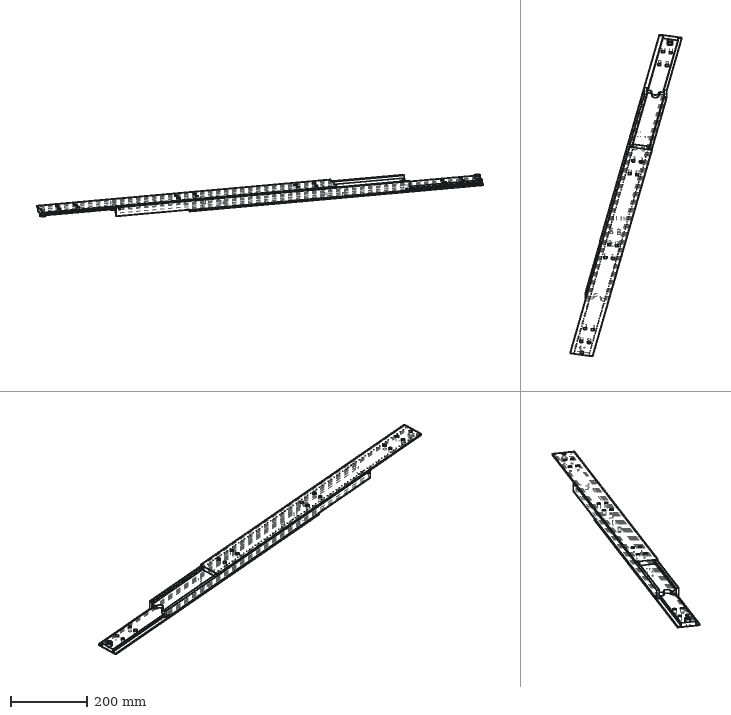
import cadquery as cq

SLIDE_LENGTH = 1200.0
SLIDE_WIDTH = 60.0
SLIDE_HEIGHT = 34.0
RAIL_LENGTH = SLIDE_LENGTH * 2 / 3
RAIL_SHIFT = (SLIDE_LENGTH - RAIL_LENGTH) / 2
RAIL_OUTER_END = SLIDE_LENGTH / 2
RAIL_BASE = -SLIDE_HEIGHT / 2

PLATE_THICKNESS = 3.0
NECK_WIDTH = 40.0
NECK_TOP = 7.0
HEAD_WIDTH = 41.0
RAIL_HEIGHT = 12.0

HOLE_DIAMETER = 8.0
HOLE_SPACING_X = 20.0
HOLE_PITCH_Y = RAIL_LENGTH / 16
HOLE_END_MARGIN = HOLE_PITCH_Y
GROUP_PITCH = (RAIL_LENGTH - HOLE_PITCH_Y) / 2 - HOLE_END_MARGIN

STOP_DIAMETER = 15.0
STOP_HEIGHT = 7.0
BORE_DIAMETER = 8.0
BORE_FLOOR = 2.0

FLANGE_HEIGHT = 24.0
FLANGE_THICKNESS = 7.0
FLANGE_OFFSET = (SLIDE_WIDTH - FLANGE_THICKNESS) / 2
WEB_THICKNESS = SLIDE_HEIGHT - 2 * RAIL_HEIGHT
WEB_INSET = 1.0
WEB_LENGTH = RAIL_LENGTH - 2 * WEB_INSET

NOTCH_WIDTH = 18.0
NOTCH_DEPTH = 15.0
NOTCH_MOUTH_CHAMFER = 4.0

CROSS_HOLE_DIAMETER = 4.0
CROSS_HOLE_END_MARGIN = 8.0
CROSS_HOLE_OFFSET = 8.0


def half_turn(body):
    """The body turned half a turn about X, from one end of the slide to the other."""
    return body.rotate((0, 0, 0), (1, 0, 0), 180)


def rail_strip(width, bottom, top):
    """Full-length strip of the lower rail between two heights above the rail base."""
    return (
        cq.Workplane("XY", origin=(0, RAIL_SHIFT, RAIL_BASE + bottom))
        .rect(width, RAIL_LENGTH)
        .extrude(top - bottom)
    )


def mounting_holes():
    points = [
        (side * HOLE_SPACING_X / 2, group * GROUP_PITCH + end * HOLE_PITCH_Y / 2)
        for side in (-1, 1)
        for group in (-1, 0, 1)
        for end in (-1, 1)
    ]
    return (
        cq.Workplane("XY", origin=(0, RAIL_SHIFT, RAIL_BASE))
        .pushPoints(points)
        .circle(HOLE_DIAMETER / 2)
        .extrude(RAIL_HEIGHT)
    )


def stop_cylinder(diameter, bottom, top):
    """Cylinder on the stop's axis between two heights above the rail base."""
    return (
        cq.Workplane("XY", origin=(0, RAIL_OUTER_END - STOP_DIAMETER / 2, RAIL_BASE + bottom))
        .circle(diameter / 2)
        .extrude(top - bottom)
    )


def make_lower_rail():
    plate = rail_strip(SLIDE_WIDTH, 0, PLATE_THICKNESS)
    neck = rail_strip(NECK_WIDTH, PLATE_THICKNESS, NECK_TOP)
    head = rail_strip(HEAD_WIDTH, NECK_TOP, RAIL_HEIGHT)
    stop_top = RAIL_HEIGHT + STOP_HEIGHT
    stop = stop_cylinder(STOP_DIAMETER, RAIL_HEIGHT, stop_top)
    bore = stop_cylinder(BORE_DIAMETER, BORE_FLOOR, stop_top)
    return plate.union(neck).union(head).cut(mounting_holes()).union(stop).cut(bore)


def web_notch():
    """Cutter for the notch at the +Y end of the web."""
    half = NOTCH_WIDTH / 2
    mouth_half = half + NOTCH_MOUTH_CHAMFER
    mouth = WEB_LENGTH / 2
    wall_start = mouth - NOTCH_MOUTH_CHAMFER
    bottom = mouth - NOTCH_DEPTH
    wall_end = bottom + half
    return (
        cq.Workplane("XY", origin=(0, 0, -WEB_THICKNESS / 2))
        .moveTo(-mouth_half, mouth)
        .lineTo(-half, wall_start)
        .lineTo(-half, wall_end)
        .threePointArc((0, bottom), (half, wall_end))
        .lineTo(half, wall_start)
        .lineTo(mouth_half, mouth)
        .close()
        .extrude(WEB_THICKNESS)
    )


def cross_hole():
    """Cutter for the hole through both flanges at the +Y end, below the web."""
    return (
        cq.Workplane("YZ", origin=(-SLIDE_WIDTH / 2, 0, 0))
        .center(RAIL_LENGTH / 2 - CROSS_HOLE_END_MARGIN, -CROSS_HOLE_OFFSET)
        .circle(CROSS_HOLE_DIAMETER / 2)
        .extrude(SLIDE_WIDTH)
    )


def make_intermediate_member():
    web_width = SLIDE_WIDTH - 2 * FLANGE_THICKNESS
    member = cq.Workplane("XY").box(web_width, WEB_LENGTH, WEB_THICKNESS)
    flange = cq.Workplane("XY").box(FLANGE_THICKNESS, RAIL_LENGTH, FLANGE_HEIGHT)
    for side in (-1, 1):
        member = member.union(flange.translate((side * FLANGE_OFFSET, 0, 0)))
    for cutter in (web_notch(), cross_hole()):
        member = member.cut(cutter).cut(half_turn(cutter))
    return member


rails = [make_lower_rail(), half_turn(make_lower_rail())]
intermediate_member = make_intermediate_member()

bodies = [intermediate_member, *rails]
result = cq.Compound.makeCompound([body.solids().val() for body in bodies])